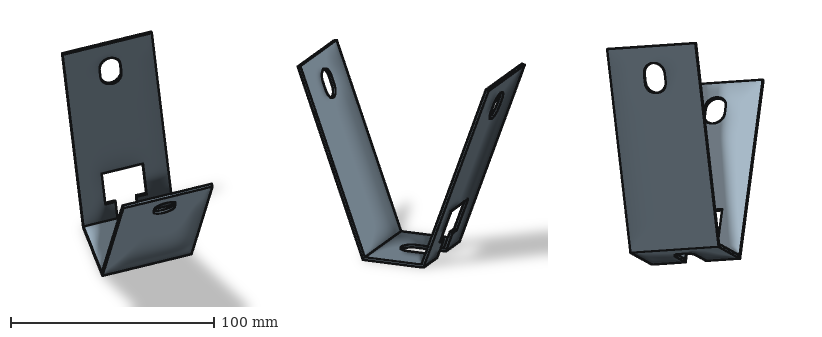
import cadquery as cq
import math

span = 101.9
depth = 46.0
height = 96.1
thickness = 1.5
lean = 20.0

slot_width = 10.8
wall_slot_length = 15.0
wall_slot_distance = 85.8
window_width = 21.3
window_bottom = 10.6
window_top = 28.5
base_slot_end = 5.2

sin_lean = math.sin(math.radians(lean))
cos_lean = math.cos(math.radians(lean))
wall_length = (height - thickness * sin_lean) / cos_lean
base_half = span / 2 - wall_length * sin_lean
bend_setback = thickness * math.tan(math.radians((90 - lean) / 2))
cutter_depth = 4 * thickness


def bracket_profile():
    """Half of the bent strip, on the +X side, as outer then inner points."""
    top_x = span / 2
    top_z = wall_length * cos_lean
    return [
        (0, 0),
        (base_half, 0),
        (top_x, top_z),
        (top_x - thickness * cos_lean, top_z + thickness * sin_lean),
        (base_half - bend_setback, thickness),
        (0, thickness),
    ]


def wall_plane(side):
    """Plane on a wall's outer face: local X runs up the wall, local Z points outward."""
    return cq.Plane(
        origin=(side * base_half, 0, 0),
        xDir=(side * sin_lean, 0, cos_lean),
        normal=(side * cos_lean, 0, -sin_lean),
    )


def wall_opening(start, end, width):
    """Rectangular cutter through the -X wall between two distances up the wall."""
    return (
        cq.Workplane(wall_plane(-1))
        .center((start + end) / 2, 0)
        .rect(end - start, width)
        .extrude(cutter_depth / 2, both=True)
    )


half = cq.Workplane("XZ").polyline(bracket_profile()).close().extrude(depth / 2, both=True)
result = half.union(half.mirror("YZ")).clean()

for side in (-1, 1):
    wall_slot = (
        cq.Workplane(wall_plane(side))
        .center(wall_slot_distance, 0)
        .slot2D(wall_slot_length, slot_width)
        .extrude(cutter_depth / 2, both=True)
    )
    result = result.cut(wall_slot)

result = result.cut(wall_opening(window_bottom, window_top, window_width))
result = result.cut(wall_opening(0, window_bottom, slot_width))

base_slot_start = -base_half
slot_radius = slot_width / 2
base_slot = (
    cq.Workplane("XY")
    .moveTo(base_slot_start, -slot_radius)
    .lineTo(base_slot_end - slot_radius, -slot_radius)
    .threePointArc((base_slot_end, 0), (base_slot_end - slot_radius, slot_radius))
    .lineTo(base_slot_start, slot_radius)
    .close()
    .extrude(thickness)
)
result = result.cut(base_slot)